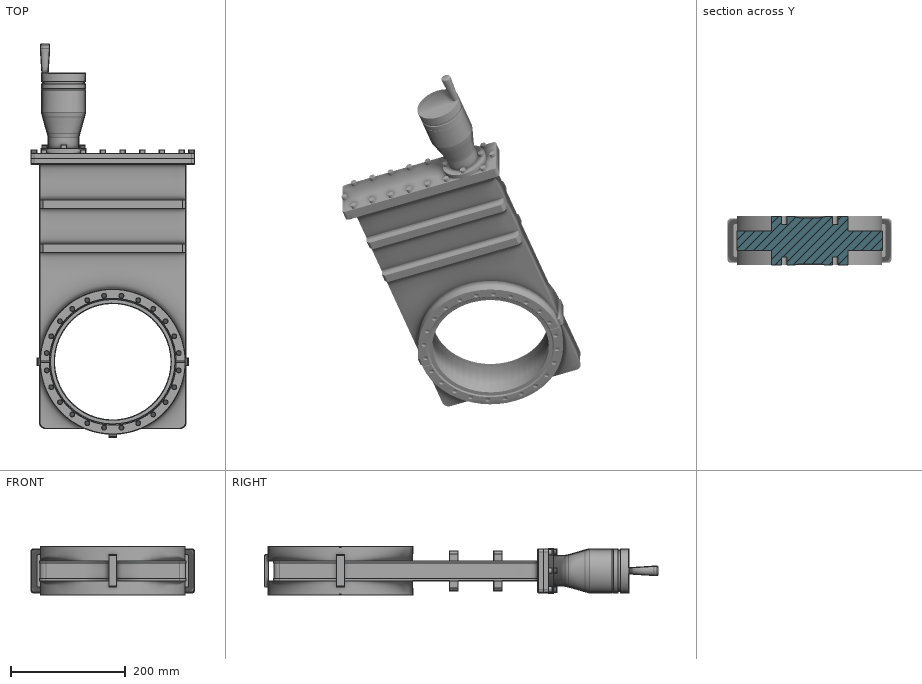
import cadquery as cq
import math


FLANGE_RADIUS = 126.5
FLANGE_TOP = 42.5
BORE_RADIUS = 101.5
RECESS_RADIUS = 110.5
RECESS_FLOOR_RADIUS = 108.5
RECESS_DEPTH = 2.0
BOLT_HOLE_COUNT = 24
BOLT_HOLE_RADIUS = 4.0
BOLT_CIRCLE_RADIUS = 116.0
BOLT_HOLE_DEPTH = 14.0
LEAK_GROOVE_WIDTH = 2.0
LEAK_GROOVE_DEPTH = 1.5

BOX_HALF_WIDTH = 127.0
BOX_FRONT = -116.0
BOX_HALF_HEIGHT = 17.5
BOX_CORNER_RADIUS = 10.0
LIP_HEIGHT = 4.0
LIP_OVERHANG = 1.0

RIB_CENTERS = (275.0, 198.0)
RIB_WIDTH = 15.0
RIB_TOP = 35.0
RIB_END_CHAMFER = 5.5

STRAP_WIDTH = 14.0
STRAP_HEIGHT = 57.0
STRAP_INNER = 125.0
STRAP_OUTER = 132.5
STRAP_CHAMFER = 2.0
STRAP_ANGLES = (-90, 0, 180)

PLATE_LENGTH = 285.5
PLATE_HEIGHT = 77.0
PLATE_CORNER_RADIUS = 5.5
PLATE_CHAMFER = 1.5
PLATE_BOTTOM = 344.0
PLATE_JOINT = 354.0
PLATE_TOP = 363.0

SCREW_RADIUS = 5.0
SCREW_HEIGHT = 6.0
SCREW_ROW_Z = 32.0
SCREW_PITCH = 34.0
SCREWS_PER_ROW = 8
END_SCREW_X = 137.0

ACTUATOR_X = -86.0
BASE_RADIUS = 39.0
BASE_TOP = 371.5
ACTUATOR_SCREW_CIRCLE = 33.0
NECK_RADIUS = 27.0
NECK_END = 391.5
CONE_START = 397.5
CONE_START_RADIUS = 28.0
CONE_END = 426.5
CONE_END_RADIUS = 36.5
DRUM_START = 434.5
DRUM_RADIUS = 38.5
DRUM_END = 503.0
DIAL_GROOVE = (474.0, 476.5)
DIAL_GROOVE_DEPTH = 1.0
GRIP_GROOVE = (484.0, 489.0)
GRIP_GROOVE_DEPTH = 2.0

HANDLE_X = -118.0
HANDLE_BASE_RADIUS = 5.5
HANDLE_TIP_RADIUS = 8.0
HANDLE_SHOULDER = 546.5
HANDLE_END = 554.0
HANDLE_TIP_FILLET = 3.0


def rounded_slab(half_width, front, back, z_bottom, z_top, radius):
    """Slab along Y whose two front corners are rounded."""
    return (
        cq.Workplane("XY")
        .box(2 * half_width, back - front, z_top - z_bottom, centered=(True, False, False))
        .translate((0, front, z_bottom))
        .edges("|Z and <Y")
        .fillet(radius)
    )


def gate_box():
    """Box with a thin overhanging lip along its upper and lower faces."""
    core_half_height = BOX_HALF_HEIGHT - LIP_HEIGHT
    box = rounded_slab(
        BOX_HALF_WIDTH, BOX_FRONT, PLATE_BOTTOM, -core_half_height, core_half_height, BOX_CORNER_RADIUS
    )
    for z_bottom in (-BOX_HALF_HEIGHT, core_half_height):
        lip = rounded_slab(
            BOX_HALF_WIDTH + LIP_OVERHANG,
            BOX_FRONT - LIP_OVERHANG,
            PLATE_BOTTOM,
            z_bottom,
            z_bottom + LIP_HEIGHT,
            BOX_CORNER_RADIUS + LIP_OVERHANG,
        )
        box = box.union(lip)
    return box


def upper_flange():
    """Solid flange disc on the +Z side of the box, with sealing recess, bolt holes and leak grooves."""
    flange = (
        cq.Workplane("XY")
        .workplane(offset=BOX_HALF_HEIGHT)
        .circle(FLANGE_RADIUS)
        .extrude(FLANGE_TOP - BOX_HALF_HEIGHT)
    )
    recess = (
        cq.Workplane("XY")
        .workplane(offset=FLANGE_TOP - RECESS_DEPTH)
        .circle(RECESS_FLOOR_RADIUS)
        .workplane(offset=RECESS_DEPTH)
        .circle(RECESS_RADIUS)
        .loft(ruled=True)
    )
    half_step = 180 / BOLT_HOLE_COUNT
    holes = (
        cq.Workplane("XY")
        .workplane(offset=FLANGE_TOP - BOLT_HOLE_DEPTH)
        .polarArray(BOLT_CIRCLE_RADIUS, half_step, 360, BOLT_HOLE_COUNT)
        .circle(BOLT_HOLE_RADIUS)
        .extrude(BOLT_HOLE_DEPTH)
    )
    leak_grooves = (
        cq.Workplane("XY")
        .workplane(offset=FLANGE_TOP - LEAK_GROOVE_DEPTH)
        .rect(2 * FLANGE_RADIUS, LEAK_GROOVE_WIDTH)
        .extrude(LEAK_GROOVE_DEPTH)
    )
    return flange.cut(recess).cut(holes).cut(leak_grooves)


def upper_rib(y_center):
    """Rib across the +Z face of the box, with both ends bevelled."""
    return (
        cq.Workplane("XY")
        .box(2 * BOX_HALF_WIDTH, RIB_WIDTH, RIB_TOP - BOX_HALF_HEIGHT, centered=(True, True, False))
        .translate((0, y_center, BOX_HALF_HEIGHT))
        .edges("|Y and >Z")
        .chamfer(RIB_END_CHAMFER)
    )


def strap(angle):
    """Upright strap against the flange rims, at an angle about the port axis."""
    return (
        cq.Workplane("XY")
        .box(STRAP_OUTER - STRAP_INNER, STRAP_WIDTH, STRAP_HEIGHT, centered=(False, True, True))
        .translate((STRAP_INNER, 0, 0))
        .edges("|Y and >X")
        .chamfer(STRAP_CHAMFER)
        .rotate((0, 0, 0), (0, 0, 1), angle)
    )


def bonnet_plate(y_bottom, y_top):
    """Plate across the back of the valve with rounded corners."""
    return (
        cq.Workplane("XY")
        .box(PLATE_LENGTH, y_top - y_bottom, PLATE_HEIGHT, centered=(True, False, True))
        .translate((0, y_bottom, 0))
        .edges("|Y")
        .fillet(PLATE_CORNER_RADIUS)
    )


def screw_head(x, y, z):
    """Cylindrical screw head standing on a face at height y."""
    head = cq.Solid.makeCylinder(SCREW_RADIUS, SCREW_HEIGHT, cq.Vector(x, y, z), cq.Vector(0, 1, 0))
    return cq.Workplane(obj=head)


def make_valve_body():
    """Gate box, both port flanges, ribs, straps and the lower bonnet plate."""
    body = gate_box()
    upper_parts = [upper_flange()] + [upper_rib(y) for y in RIB_CENTERS]
    for part in upper_parts:
        body = body.union(part).union(part.mirror("XY"))
    for angle in STRAP_ANGLES:
        body = body.union(strap(angle))
    lower_plate = bonnet_plate(PLATE_BOTTOM, PLATE_JOINT).faces("<Y").edges().chamfer(PLATE_CHAMFER)
    bore = cq.Workplane("XY").circle(BORE_RADIUS).extrude(FLANGE_TOP, both=True)
    return body.union(lower_plate).cut(bore)


def make_cover():
    """Upper bonnet plate with its screw heads; the actuator base takes the place of one screw pair."""
    cover = bonnet_plate(PLATE_JOINT, PLATE_TOP)
    row_start = -SCREW_PITCH * (SCREWS_PER_ROW - 1) / 2
    row = [row_start + SCREW_PITCH * index for index in range(SCREWS_PER_ROW)]
    clear_row = [x for x in row if abs(x - ACTUATOR_X) > SCREW_PITCH / 2]
    places = [(x, z) for x in clear_row for z in (-SCREW_ROW_Z, SCREW_ROW_Z)]
    places += [(-END_SCREW_X, 0), (END_SCREW_X, 0)]
    for x, z in places:
        cover = cover.union(screw_head(x, PLATE_TOP, z))
    return cover


def make_actuator():
    """Turned actuator housing with its base disc and four base screws."""
    dial_floor = DRUM_RADIUS - DIAL_GROOVE_DEPTH
    grip_floor = DRUM_RADIUS - GRIP_GROOVE_DEPTH
    profile = [
        (0, PLATE_TOP),
        (BASE_RADIUS, PLATE_TOP),
        (BASE_RADIUS, BASE_TOP),
        (NECK_RADIUS, BASE_TOP),
        (NECK_RADIUS, NECK_END),
        (CONE_START_RADIUS, CONE_START),
        (CONE_END_RADIUS, CONE_END),
        (DRUM_RADIUS, DRUM_START),
        (DRUM_RADIUS, DIAL_GROOVE[0]),
        (dial_floor, DIAL_GROOVE[0]),
        (dial_floor, DIAL_GROOVE[1]),
        (DRUM_RADIUS, DIAL_GROOVE[1]),
        (DRUM_RADIUS, GRIP_GROOVE[0]),
        (grip_floor, GRIP_GROOVE[0]),
        (grip_floor, GRIP_GROOVE[1]),
        (DRUM_RADIUS, GRIP_GROOVE[1]),
        (DRUM_RADIUS, DRUM_END),
        (0, DRUM_END),
    ]
    turned = cq.Workplane("XY").polyline(profile).close().revolve(360, (0, 0, 0), (0, 1, 0))
    actuator = turned.translate((ACTUATOR_X, 0, 0))
    for angle in (0, 90, 180, 270):
        x = ACTUATOR_X + ACTUATOR_SCREW_CIRCLE * math.cos(math.radians(angle))
        z = ACTUATOR_SCREW_CIRCLE * math.sin(math.radians(angle))
        actuator = actuator.union(screw_head(x, BASE_TOP, z))
    return actuator


def make_handle():
    """Crank handle that widens towards its rounded tip."""
    profile = [
        (0, DRUM_END),
        (HANDLE_BASE_RADIUS, DRUM_END),
        (HANDLE_TIP_RADIUS, HANDLE_SHOULDER),
        (HANDLE_TIP_RADIUS, HANDLE_END),
        (0, HANDLE_END),
    ]
    handle = cq.Workplane("XY").polyline(profile).close().revolve(360, (0, 0, 0), (0, 1, 0))
    return handle.faces(">Y").edges().fillet(HANDLE_TIP_FILLET).translate((HANDLE_X, 0, 0))


valve_body = make_valve_body()
cover = make_cover()
actuator = make_actuator()
handle = make_handle()

result = cq.Compound.makeCompound([valve_body.val(), cover.val(), actuator.val(), handle.val()])